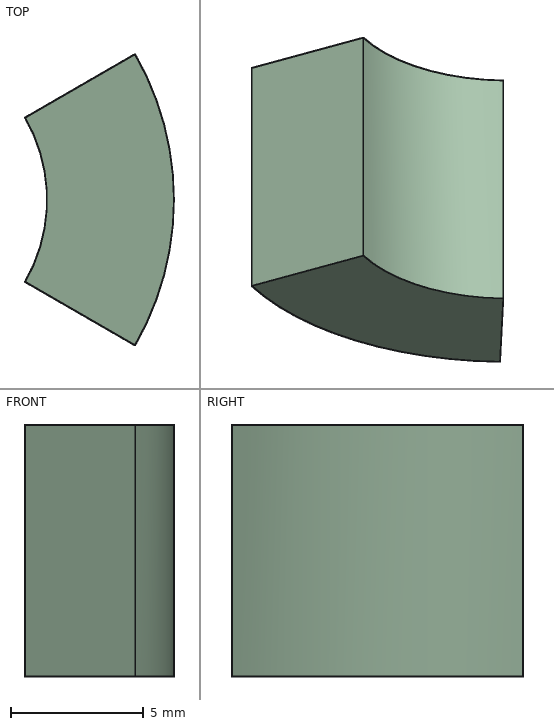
import cadquery as cq
import math

OUTER_RADIUS = 11.0
INNER_RADIUS = 6.2
SECTOR_ANGLE = 60.0
HEIGHT = 9.5


def polar_point(radius, angle):
    """Point at the given radius and angle (degrees from +X) about the ring axis."""
    angle_rad = math.radians(angle)
    return (radius * math.cos(angle_rad), radius * math.sin(angle_rad))


def ring_segment():
    """Sector with concentric inner and outer arcs and two radial end faces."""
    half_angle = SECTOR_ANGLE / 2
    return (
        cq.Workplane("XY")
        .moveTo(*polar_point(INNER_RADIUS, -half_angle))
        .lineTo(*polar_point(OUTER_RADIUS, -half_angle))
        .threePointArc((OUTER_RADIUS, 0), polar_point(OUTER_RADIUS, half_angle))
        .lineTo(*polar_point(INNER_RADIUS, half_angle))
        .threePointArc((INNER_RADIUS, 0), polar_point(INNER_RADIUS, -half_angle))
        .close()
        .extrude(HEIGHT)
    )


result = ring_segment()